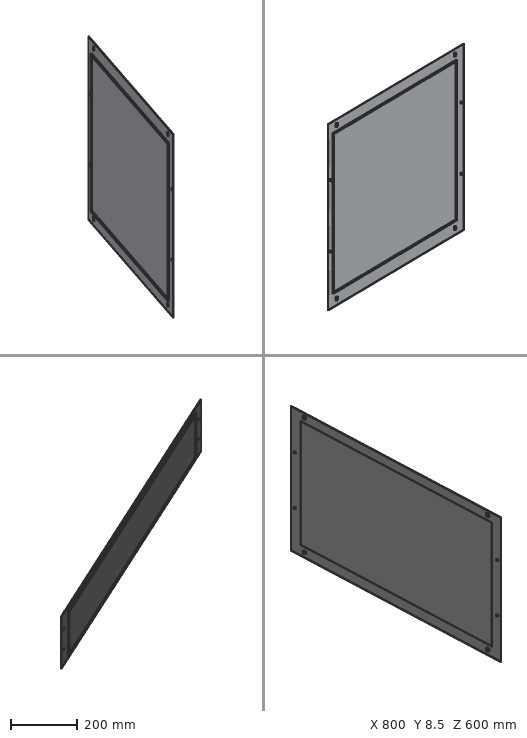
import cadquery as cq

plate_width = 800.0
plate_height = 600.0
plate_thickness = 3.05

rim_side_margin = 34.5
rim_end_margin = 42.0
rim_wall = 2.65
rim_projection = 5.45
rim_width = plate_width - 2 * rim_side_margin
rim_height = plate_height - 2 * rim_end_margin
total_depth = plate_thickness + rim_projection

corner_hole_diameter = 14.0
corner_hole_x = plate_width / 2 - 50.5
upper_hole_z = plate_height / 2 - 18.5
lower_hole_z = -plate_height / 2 + 22.0

side_hole_diameter = 8.0
side_hole_x = plate_width / 2 - 14.0
side_hole_z = 115.0


def block(width, depth, height):
    """Box centred in X and Z, running from the plate's back face toward -Y."""
    return cq.Workplane("XZ").rect(width, height).extrude(depth)


def rim():
    """Rectangular frame, rooted in the plate and projecting from its front face."""
    outer = block(rim_width, total_depth, rim_height)
    opening = block(rim_width - 2 * rim_wall, total_depth, rim_height - 2 * rim_wall)
    return outer.cut(opening)


def hole_set(x, heights, diameter):
    """Through-hole cutters at each height, mirrored left and right."""
    centres = [(side * x, z) for side in (-1, 1) for z in heights]
    return cq.Workplane("XZ").pushPoints(centres).circle(diameter / 2).extrude(plate_thickness)


result = block(plate_width, plate_thickness, plate_height).union(rim())
result = result.cut(hole_set(corner_hole_x, (lower_hole_z, upper_hole_z), corner_hole_diameter))
result = result.cut(hole_set(side_hole_x, (-side_hole_z, side_hole_z), side_hole_diameter))